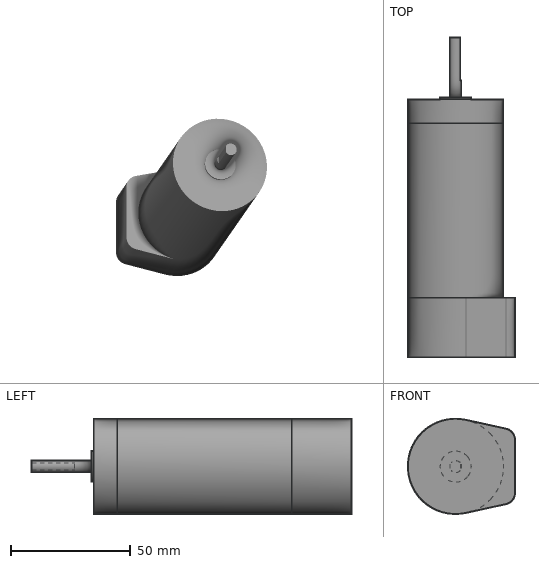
import cadquery as cq
import math

motor_diameter = 40.0
gearbox_length = 10.0
motor_length = 73.0
cover_length = 25.0

boss_diameter = 13.0
boss_height = 1.0
shaft_diameter = 5.0
shaft_length = 25.0
flat_length = 18.0
flat_thickness = 4.5

cover_reach = 25.0
cover_flat_width = 30.0
cover_corner_radius = 5.0

motor_radius = motor_diameter / 2
motor_front = -gearbox_length
motor_rear = motor_front - motor_length
shaft_tip = boss_height + shaft_length


def cylinder_along_y(diameter, y_start, length):
    """Cylinder on the Y axis running from y_start towards +Y."""
    plane = cq.Workplane("XZ", origin=(0, y_start, 0))
    return plane.circle(diameter / 2).extrude(-length)


def make_gearbox():
    """Front disc carrying the centring boss and the output shaft with its flat."""
    disc = cylinder_along_y(motor_diameter, motor_front, gearbox_length)
    boss = cylinder_along_y(boss_diameter, 0, boss_height)
    shaft = cylinder_along_y(shaft_diameter, boss_height, shaft_length)
    flat_x = flat_thickness - shaft_diameter / 2
    flat_cut = (
        cq.Workplane("XY")
        .box(shaft_diameter, flat_length, shaft_diameter, centered=(False, False, True))
        .translate((flat_x, shaft_tip - flat_length, 0))
    )
    return disc.union(boss).union(shaft.cut(flat_cut))


def make_motor():
    """Plain round motor can."""
    return cylinder_along_y(motor_diameter, motor_rear, motor_length)


def make_encoder_cover():
    """Cover whose flanks leave the motor circle tangentially and meet a flat side."""
    corner_z = cover_flat_width / 2
    corner_distance = math.hypot(cover_reach, corner_z)
    corner_angle = math.atan2(corner_z, cover_reach)
    tangent_angle = corner_angle + math.acos(motor_radius / corner_distance)
    tangent_x = motor_radius * math.cos(tangent_angle)
    tangent_z = motor_radius * math.sin(tangent_angle)
    return (
        cq.Workplane("XZ", origin=(0, motor_rear, 0))
        .moveTo(tangent_x, tangent_z)
        .threePointArc((-motor_radius, 0), (tangent_x, -tangent_z))
        .lineTo(cover_reach, -corner_z)
        .lineTo(cover_reach, corner_z)
        .close()
        .extrude(cover_length)
        .edges("|Y and >X")
        .fillet(cover_corner_radius)
    )


gearbox = make_gearbox()
motor = make_motor()
encoder_cover = make_encoder_cover()

result = cq.Compound.makeCompound([gearbox.val(), motor.val(), encoder_cover.val()])